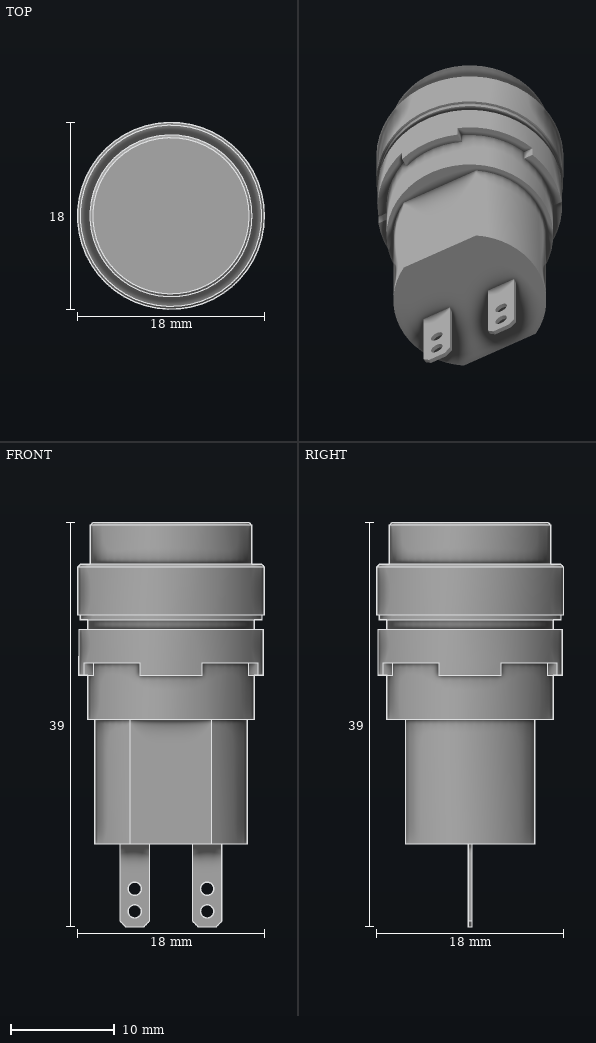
import cadquery as cq

barrel_bottom = 8.0
collar_bottom = 20.0
nut_bottom = 24.25
notch_top = 25.45
nut_top = 28.7
lip_bottom = 29.6
lip_top = 30.05
bezel_top = 35.0
cap_top = 39.0

barrel_radius = 7.37
barrel_flat_distance = 6.25
collar_radius = 8.05
nut_radius = 8.9
lip_radius = 8.78
bezel_radius = 9.0
cap_radius = 7.8
edge_chamfer = 0.27

tooth_width = 6.0

terminal_spacing = 7.0
terminal_width = 2.85
terminal_thickness = 0.4
terminal_chamfer = 0.6
terminal_hole_diameter = 1.25
terminal_hole_heights = (1.52, 3.7)


def cylinder(radius, bottom, top):
    """Upright cylinder on the part axis."""
    return cq.Workplane("XY").workplane(offset=bottom).circle(radius).extrude(top - bottom)


def box(width, depth, bottom, top):
    """Upright box centred on the part axis."""
    return cq.Workplane("XY").workplane(offset=bottom).rect(width, depth).extrude(top - bottom)


def make_barrel():
    """Round barrel with a flat on its front and back."""
    flats = box(2 * barrel_radius, 2 * barrel_flat_distance, barrel_bottom, collar_bottom)
    return cylinder(barrel_radius, barrel_bottom, collar_bottom).intersect(flats)


def make_terminal(x):
    """Flat blade with chamfered tip corners and two wire holes."""
    blade = box(terminal_width, terminal_thickness, 0, barrel_bottom)
    blade = blade.faces("<Z").edges("|Y").chamfer(terminal_chamfer)
    holes = (
        cq.Workplane("XZ")
        .pushPoints([(0, height) for height in terminal_hole_heights])
        .circle(terminal_hole_diameter / 2)
        .extrude(terminal_thickness, both=True)
    )
    return blade.cut(holes).translate((x, 0, 0))


def make_housing():
    """Barrel, collar, bezel and cap in one piece with the two terminals."""
    bezel = cylinder(bezel_radius, lip_top, bezel_top).faces(">Z").chamfer(edge_chamfer)
    cap = cylinder(cap_radius, bezel_top, cap_top).faces(">Z").chamfer(edge_chamfer)
    housing = (
        make_barrel()
        .union(cylinder(collar_radius, collar_bottom, lip_bottom))
        .union(cylinder(lip_radius, lip_bottom, lip_top))
        .union(bezel)
        .union(cap)
    )
    for side in (-1, 1):
        housing = housing.union(make_terminal(side * terminal_spacing / 2))
    return housing


def make_nut():
    """Ring around the collar with four parallel-sided teeth below it."""
    tooth_span = 2 * nut_radius
    teeth = box(tooth_span, tooth_width, nut_bottom, notch_top).union(
        box(tooth_width, tooth_span, nut_bottom, notch_top)
    )
    teeth = teeth.intersect(cylinder(nut_radius, nut_bottom, notch_top))
    ring = cylinder(nut_radius, notch_top, nut_top).union(teeth)
    return ring.cut(cylinder(collar_radius, nut_bottom, nut_top))


housing = make_housing()
nut = make_nut()
result = cq.Compound.makeCompound([housing.solids().val(), nut.solids().val()])